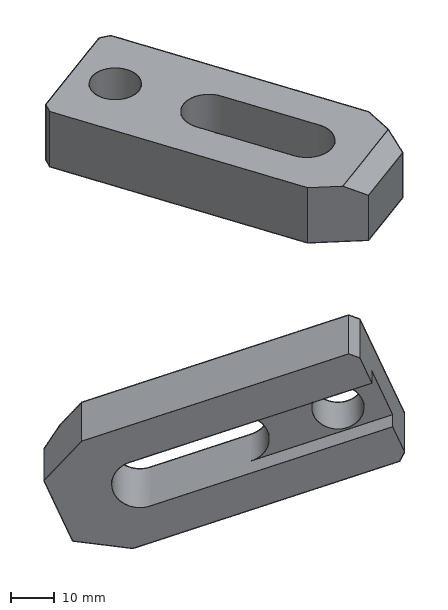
import cadquery as cq
import math

length = 80.0
width = 32.0
height = 16.0
rear_chamfer = 2.0

nose_angle = math.radians(30)
nose_width = 18.0
nose_drop = 3.0
side_taper_length = (width - nose_width) / 2 / math.tan(nose_angle)
top_taper_length = nose_drop / math.tan(nose_angle)

hole_diameter = 12.0
hole_x = 11.0
slot_width = 13.0
slot_start = 28.4
slot_end = 66.3
slot_length = slot_end - slot_start
slot_centre_x = (slot_start + slot_end) / 2

groove_depth = 5.0


def tapered_block():
    """Block with chamfered rear corners and a nose narrowing from both sides."""
    half_outline = [
        (0, width / 2 - rear_chamfer),
        (rear_chamfer, width / 2),
        (length - side_taper_length, width / 2),
        (length, nose_width / 2),
    ]
    mirrored_half = [(x, -y) for x, y in reversed(half_outline)]
    return cq.Workplane("XY").polyline(half_outline + mirrored_half).close().extrude(height)


def nose_bevel():
    """Wedge that slopes the top of the nose down to its tip."""
    wedge = [
        (length - top_taper_length, height),
        (length, height),
        (length, height - nose_drop),
    ]
    return cq.Workplane("XZ").polyline(wedge).close().extrude(width / 2, both=True)


def round_hole():
    return cq.Workplane("XY").center(hole_x, 0).circle(hole_diameter / 2).extrude(height)


def long_slot():
    return cq.Workplane("XY").center(slot_centre_x, 0).slot2D(slot_length, slot_width).extrude(height)


def underside_groove():
    return cq.Workplane("XY").box(
        slot_centre_x, slot_width, groove_depth, centered=(False, True, False)
    )


result = (
    tapered_block()
    .cut(nose_bevel())
    .cut(round_hole())
    .cut(long_slot())
    .cut(underside_groove())
)